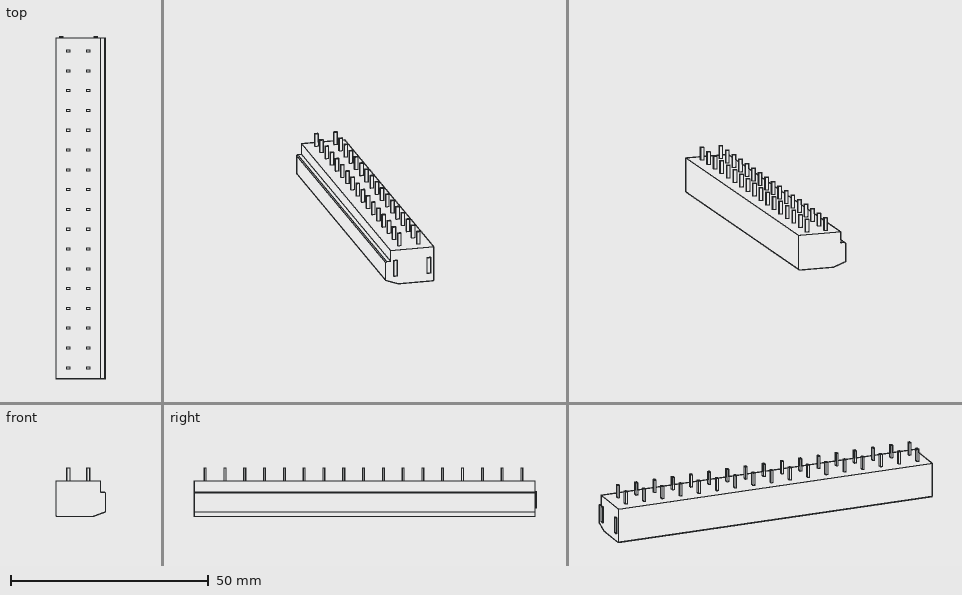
import cadquery as cq

total_length = 86.5
total_width = 12.6
total_height = 12.4

housing_height = 9.1
top_width = 11.3
ledge_height = 6.2
edge_chamfer = 0.3
bevel_width = 3.3
bevel_height = 1.2

pad_thickness = 0.35
pad_width = 0.95
pad_bottom = 2.25
pad_height = 4.15
pad_centers = (1.4, 10.1)

pin_rows = 2
pins_per_row = 17
pin_span = 80.0
pin_pitch = pin_span / (pins_per_row - 1)
pin_width = 0.9
pin_depth = 0.5
first_row_x = 3.2
pin_grid_y = -0.3
pin_height = total_height - housing_height

housing_length = total_length - pad_thickness


def make_housing():
    """Extrude the stepped cross-section along Y, centred on the origin."""
    outline = [
        (0, edge_chamfer),
        (edge_chamfer, 0),
        (total_width - bevel_width, 0),
        (total_width, bevel_height),
        (total_width, ledge_height - edge_chamfer),
        (total_width - edge_chamfer, ledge_height),
        (top_width, ledge_height),
        (top_width, housing_height),
        (0, housing_height),
    ]
    profile = cq.Workplane("XZ").polyline(outline).close()
    return profile.extrude(housing_length / 2, both=True)


def make_pads():
    """Thin rectangular pads standing on the +Y end face."""
    return (
        cq.Workplane("XY", origin=(0, housing_length / 2, pad_bottom))
        .pushPoints([(x, pad_thickness / 2) for x in pad_centers])
        .rect(pad_width, pad_thickness)
        .extrude(pad_height)
    )


def make_pins():
    """Two rows of rectangular pins rising from the top face."""
    row_center_x = first_row_x + pin_pitch * (pin_rows - 1) / 2
    return (
        cq.Workplane("XY", origin=(row_center_x, pin_grid_y, housing_height))
        .rarray(pin_pitch, pin_pitch, pin_rows, pins_per_row)
        .rect(pin_width, pin_depth)
        .extrude(pin_height)
    )


result = make_housing().union(make_pads()).union(make_pins())